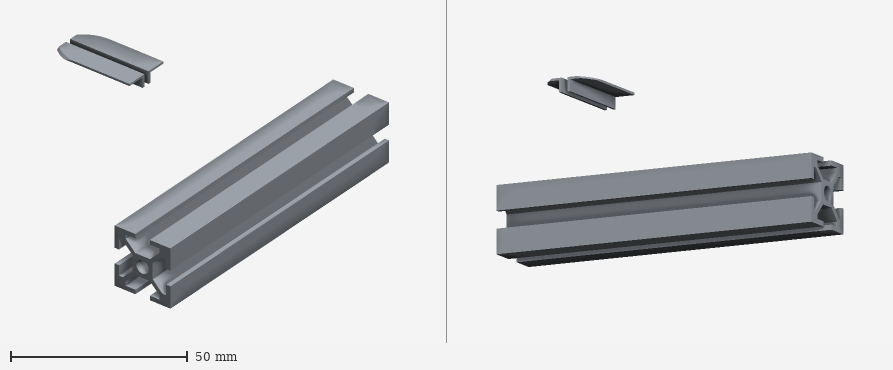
import cadquery as cq
import math

bar_length = 100.0
bar_side = 20.0
bar_center_x = 65.8
bar_center_z = 10.0
bore_diameter = 4.4
slot_opening = 5.2
lip_thickness = 1.5
cavity_width = 12.1
core_side = 7.3
rib_offset = 1.0

strip_length = 28.2
strip_top_z = 36.1
strip_height = 4.2
flange_width = 6.8
flange_thickness = 0.7
web_thickness = 0.8
strip_gap = 1.9
pair_center_y = -0.3

nose_length = 9.0
nose_top_radius = 12.8
nose_bottom_radius = nose_top_radius + flange_thickness


def make_slot_cutter():
    """T-slot on the +Z side of a bar centred on the origin."""
    half_bar = bar_side / 2
    half_opening = slot_opening / 2
    half_cavity = cavity_width / 2
    half_core = core_side / 2
    lip_z = half_bar - lip_thickness
    half_floor = half_core - rib_offset
    right_side = [
        (half_opening, half_bar),
        (half_opening, lip_z),
        (half_cavity, lip_z),
        (half_cavity, half_cavity + rib_offset),
        (half_floor, half_core),
    ]
    left_side = [(-x, z) for x, z in reversed(right_side)]
    outline = cq.Workplane("XZ").polyline(right_side + left_side).close()
    return outline.extrude(bar_length / 2, both=True)


def make_profile_bar():
    """Square bar with a T-slot in each side and a bore through the core."""
    bar = cq.Workplane("XZ").rect(bar_side, bar_side).circle(bore_diameter / 2)
    bar = bar.extrude(bar_length / 2, both=True)
    slot = make_slot_cutter()
    for angle in (0, 90, 180, 270):
        bar = bar.cut(slot.rotate((0, 0, 0), (0, 1, 0), angle))
    return bar.translate((bar_center_x, 0, bar_center_z))


def make_nose_cutter():
    """Waste outside a cone whose top circle is tangent to the flange's outer edge."""
    center_y = flange_width - nose_top_radius
    flange_bottom_z = -flange_thickness
    nose_depth = nose_top_radius - math.sqrt(nose_top_radius**2 - nose_length**2)
    waste = cq.Workplane("XY").box(nose_length, nose_depth, flange_thickness, centered=False)
    waste = waste.translate((0, flange_width - nose_depth, flange_bottom_z))
    cone = cq.Solid.makeCone(
        nose_bottom_radius,
        nose_top_radius,
        flange_thickness,
        pnt=cq.Vector(nose_length, center_y, flange_bottom_z),
        dir=cq.Vector(0, 0, 1),
    )
    return waste.cut(cq.Workplane(obj=cone))


def make_angle_strip(side):
    """L-shaped strip; side is +1 or -1, the Y direction its flange points in."""
    flange = cq.Workplane("XY").box(strip_length, flange_width, flange_thickness, centered=False)
    flange = flange.translate((0, 0, -flange_thickness))
    web = cq.Workplane("XY").box(strip_length, web_thickness, strip_height, centered=False)
    web = web.translate((0, 0, -strip_height))
    strip = flange.union(web).cut(make_nose_cutter())
    if side < 0:
        strip = strip.mirror("XZ")
    return strip.translate((0, pair_center_y + side * strip_gap / 2, strip_top_z))


profile_bar = make_profile_bar()
angle_strips = [make_angle_strip(side) for side in (1, -1)]

result = cq.Compound.makeCompound(
    [profile_bar.val(), *[strip.val() for strip in angle_strips]]
)